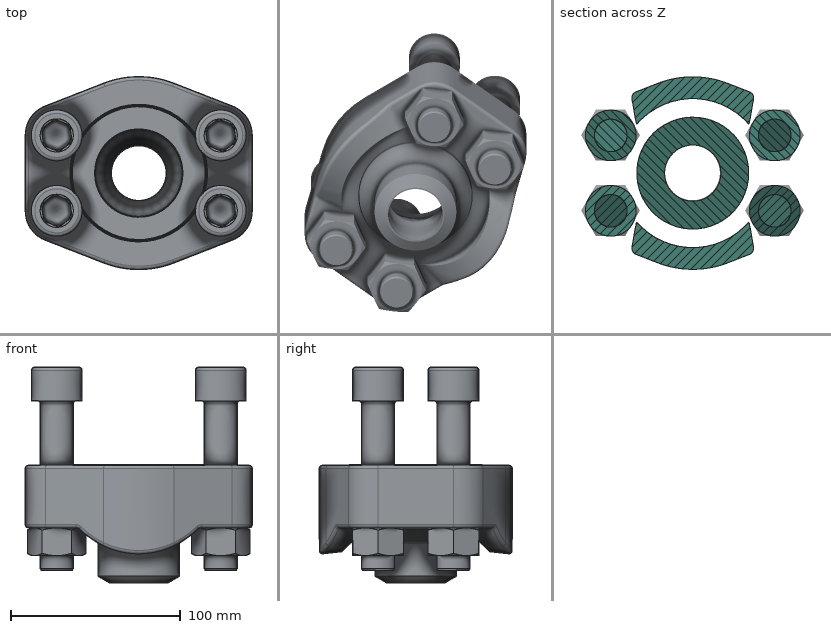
import cadquery as cq
import math


bolt_x = 48.4
bolt_y = 22.2
bolt_places = [(x, y) for x in (-bolt_x, bolt_x) for y in (-bolt_y, bolt_y)]

hex_half_angle = math.radians(30)

flange_length = 134.0
flange_width = 113.9
flange_thickness = 37.0
corner_radius = flange_length / 2 - bolt_x
edge_radius = 2.0
mouth_bevel = 0.5
recess_diameter = 80.1
recess_depth = 20.0
through_diameter = 67.5
bolt_hole_diameter = 21.0

crest_depth = 52.5
crest_radius = 52.7
crest_slope = 6.3
crest_blend_radius = 2.7
relief_diameter = 87.6

insert_top = 0.4
insert_bottom = -69.5
collar_diameter = 79.5
barrel_diameter = 66.3
pipe_diameter = 48.2
shoulder_top = -38.0
shoulder_bottom = -45.7
shoulder_radius = 1.3
bore_diameter = 32.3
bore_mouth_diameter = 51.0
bore_mouth_depth = 6.5
weld_bevel_width = 7.1
weld_bevel_angle = 30.0
weld_bevel_height = weld_bevel_width * math.tan(math.radians(weld_bevel_angle))

screw_top = 57.9
screw_diameter = 19.5
screw_length = 100.0
head_diameter = 30.0
head_height = 20.0
head_radius = 2.0
neck_width = 1.2
neck_height = 1.9
neck_arc_radius = (neck_width**2 + neck_height**2) / (2 * neck_width)
tip_diameter = 18.4
tip_bevel_height = 1.2

socket_corner_diameter = 19.5
socket_flats = socket_corner_diameter * math.cos(hex_half_angle)
socket_depth = 11.9
socket_turn = 37.5
socket_mouth_angle = 30.0
drill_point_angle = 118.0

nut_flats = 30.0
nut_corner_diameter = nut_flats / math.cos(hex_half_angle)
nut_height = 16.3
nut_bevel_angle = 30.0
nut_bevel_width = (nut_corner_diameter - nut_flats) / 2
nut_bevel_height = nut_bevel_width * math.tan(math.radians(nut_bevel_angle))


def upward_cone(tip_radius, mouth_radius, bottom, height):
    """Cone frustum on the Z axis that widens upward from its bottom level."""
    cone = cq.Solid.makeCone(tip_radius, mouth_radius, height, pnt=cq.Vector(0, 0, bottom))
    return cq.Workplane(cone)


def flange_outline():
    """Corner arcs about the bolts, joined by tangent sides to two large arcs about the bore."""
    crown = flange_width / 2
    bolt_distance = math.hypot(bolt_x, bolt_y)
    normal = math.atan2(bolt_y, bolt_x) + math.acos((crown - corner_radius) / bolt_distance)
    crown_end = (crown * math.cos(normal), crown * math.sin(normal))
    corner_end = (
        bolt_x + corner_radius * math.cos(normal),
        bolt_y + corner_radius * math.sin(normal),
    )
    corner_middle = (
        bolt_x + corner_radius * math.cos(normal / 2),
        bolt_y + corner_radius * math.sin(normal / 2),
    )
    half_length = flange_length / 2
    return (
        cq.Workplane("XY")
        .moveTo(half_length, -bolt_y)
        .lineTo(half_length, bolt_y)
        .threePointArc(corner_middle, corner_end)
        .lineTo(*crown_end)
        .threePointArc((0, crown), (-crown_end[0], crown_end[1]))
        .lineTo(-corner_end[0], corner_end[1])
        .threePointArc((-corner_middle[0], corner_middle[1]), (-half_length, bolt_y))
        .lineTo(-half_length, -bolt_y)
        .threePointArc((-corner_middle[0], -corner_middle[1]), (-corner_end[0], -corner_end[1]))
        .lineTo(-crown_end[0], -crown_end[1])
        .threePointArc((0, -crown), (crown_end[0], -crown_end[1]))
        .lineTo(corner_end[0], -corner_end[1])
        .threePointArc((corner_middle[0], -corner_middle[1]), (half_length, -bolt_y))
        .close()
    )


def make_crests():
    """Crests under the flange, from two cones that widen from the bore axis to the long sides."""
    half_width = flange_width / 2
    inner_radius = crest_radius - half_width * math.tan(math.radians(crest_slope))
    crest_axis = cq.Workplane("XZ", origin=(0, 0, crest_radius - crest_depth))
    cone = crest_axis.circle(inner_radius).extrude(half_width, taper=-crest_slope)
    cones = cone.union(cone.mirror("XZ"))
    return flange_outline().extrude(-crest_depth).intersect(cones)


def flange_block():
    """Solid flange with its crests, relieved around the bore and rounded along its outer edges."""
    relief_radius = relief_diameter / 2
    relief = (
        cq.Workplane("XY", origin=(0, 0, -flange_thickness))
        .circle(relief_radius)
        .extrude(flange_thickness - crest_depth)
    )
    block = flange_outline().extrude(-flange_thickness).union(make_crests()).cut(relief)

    block = block.edges("%HYPERBOLA").fillet(crest_blend_radius)
    inner_edges = cq.selectors.BoxSelector(
        (-relief_radius, -relief_radius, -crest_depth),
        (relief_radius, relief_radius, 0),
    )
    outer_edges = block.edges(cq.StringSyntaxSelector("not |Z") - inner_edges)
    return outer_edges.fillet(edge_radius)


def recess_cut():
    """Collar recess with a bevelled mouth."""
    recess_radius = recess_diameter / 2
    recess = cq.Workplane("XY").circle(recess_radius).extrude(-recess_depth)
    mouth = upward_cone(recess_radius, recess_radius + mouth_bevel, -mouth_bevel, mouth_bevel)
    return recess.union(mouth)


def make_flange():
    """Flange with a stepped bore for the insert and four bolt holes."""
    holes = (
        cq.Workplane("XY")
        .circle(through_diameter / 2)
        .pushPoints(bolt_places)
        .circle(bolt_hole_diameter / 2)
        .extrude(-crest_depth)
    )
    return flange_block().cut(recess_cut()).cut(holes)


def make_insert():
    """Turned insert: a collar in the recess, a barrel, a conical shoulder and a bevelled pipe end."""
    pipe_radius = pipe_diameter / 2
    body = (
        cq.Workplane("XZ")
        .moveTo(0, insert_top)
        .lineTo(collar_diameter / 2 - mouth_bevel, insert_top)
        .lineTo(collar_diameter / 2, insert_top - mouth_bevel)
        .lineTo(collar_diameter / 2, -recess_depth)
        .lineTo(barrel_diameter / 2, -recess_depth)
        .lineTo(barrel_diameter / 2, shoulder_top)
        .lineTo(pipe_radius, shoulder_bottom)
        .lineTo(pipe_radius, insert_bottom + weld_bevel_height)
        .lineTo(pipe_radius - weld_bevel_width, insert_bottom)
        .lineTo(0, insert_bottom)
        .close()
        .revolve()
    )
    shoulder_edge = cq.selectors.NearestToPointSelector((0, 0, shoulder_bottom))
    body = body.edges("%CIRCLE").edges(shoulder_edge).fillet(shoulder_radius)
    passage = (
        cq.Workplane("XZ")
        .moveTo(0, insert_top)
        .lineTo(bore_mouth_diameter / 2 + mouth_bevel, insert_top)
        .lineTo(bore_mouth_diameter / 2, insert_top - mouth_bevel)
        .lineTo(bore_mouth_diameter / 2, insert_top - bore_mouth_depth)
        .lineTo(bore_diameter / 2, shoulder_top)
        .lineTo(bore_diameter / 2, insert_bottom)
        .lineTo(0, insert_bottom)
        .close()
        .revolve()
    )
    return body.cut(passage)


def socket_cut():
    """Hexagonal key socket with a bevelled mouth and a drill-point floor."""
    floor = screw_top - socket_depth
    hexagon = (
        cq.Workplane("XY", origin=(0, 0, floor))
        .polygon(6, socket_corner_diameter)
        .extrude(socket_depth)
        .rotate((0, 0, 0), (0, 0, 1), socket_turn)
    )
    point_radius = socket_flats / 2
    point_depth = point_radius / math.tan(math.radians(drill_point_angle / 2))
    point = upward_cone(0, point_radius, floor - point_depth, point_depth)
    mouth_radius = socket_corner_diameter / 2
    mouth_depth = mouth_radius * math.tan(math.radians(socket_mouth_angle))
    mouth = upward_cone(0, mouth_radius, screw_top - mouth_depth, mouth_depth)
    return hexagon.union(point).union(mouth)


def make_screw(place):
    """Socket head screw with a rounded head rim, a flared neck and a bevelled tip."""
    shank_radius = screw_diameter / 2
    head_bottom = screw_top - head_height
    tip = head_bottom - screw_length
    body = (
        cq.Workplane("XZ")
        .moveTo(0, screw_top)
        .lineTo(head_diameter / 2 - head_radius, screw_top)
        .tangentArcPoint((head_radius, -head_radius))
        .lineTo(head_diameter / 2, head_bottom)
        .lineTo(shank_radius + neck_width, head_bottom)
        .radiusArc((shank_radius, head_bottom - neck_height), -neck_arc_radius)
        .lineTo(shank_radius, tip + tip_bevel_height)
        .lineTo(tip_diameter / 2, tip)
        .lineTo(0, tip)
        .close()
        .revolve()
    )
    return body.cut(socket_cut()).translate((*place, 0))


def make_nut(place):
    """Hexagon nut seated under the flange, with both ends bevelled at the corners."""
    seat = cq.Workplane("XY", origin=(0, 0, -flange_thickness))
    hexagon = seat.polygon(6, nut_corner_diameter).extrude(-nut_height)
    bevelled_round = (
        seat.circle(nut_corner_diameter / 2)
        .extrude(-nut_height)
        .faces("<Z or >Z")
        .chamfer(nut_bevel_height, nut_bevel_width)
    )
    screw_hole = seat.circle(screw_diameter / 2).extrude(-nut_height)
    return hexagon.intersect(bevelled_round).cut(screw_hole).translate((*place, 0))


flange = make_flange()
weld_insert = make_insert()
screws = [make_screw(place) for place in bolt_places]
nuts = [make_nut(place) for place in bolt_places]

result = cq.Compound.makeCompound(
    [
        flange.val(),
        weld_insert.val(),
        *[screw.val() for screw in screws],
        *[nut.val() for nut in nuts],
    ]
)